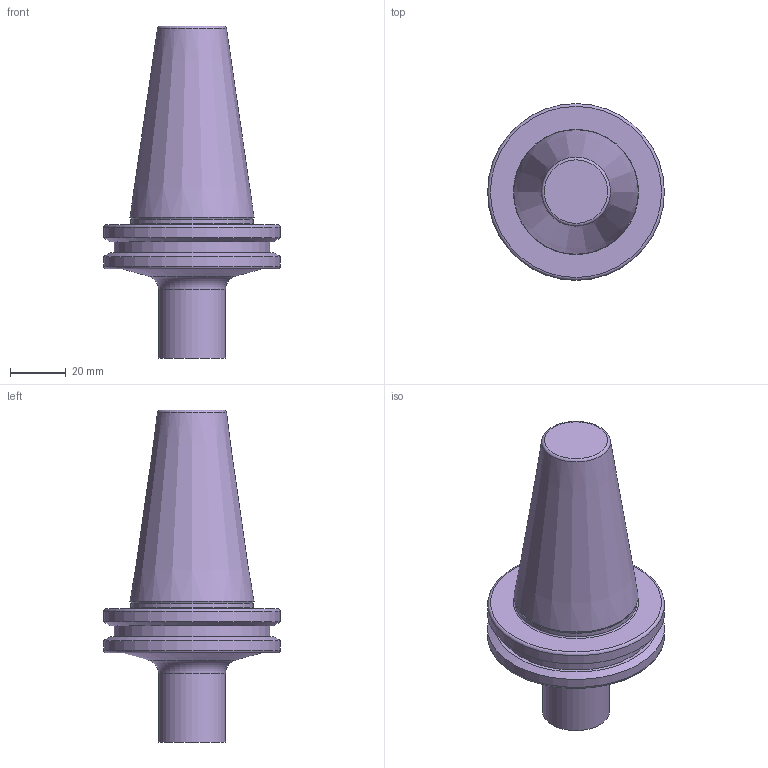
import cadquery as cq
import math


total_length = 119.3

gauge_diameter = 44.45
taper_length = 68.25
taper_overrun = 0.45
taper_ratio = 7 / 24
tip_fillet = 1.0

neck_diameter = 44.0
neck_step_height = 0.7
neck_base_fillet = 0.5

flange_diameter = 63.5
flange_gap = 3.175
flange_thickness = 15.875
flange_edge_fillet = 1.0
groove_diameter = 56.0
groove_root_width = 3.85
groove_centre_depth = 8.05
groove_lip_diameter = 58.5
groove_wall_angle = 30.0

nose_diameter = 24.1
cone_base_diameter = 50.0
cone_angle = 15.5
nose_fillet = 5.0

gauge_radius = gauge_diameter / 2
neck_radius = neck_diameter / 2
flange_radius = flange_diameter / 2
groove_radius = groove_diameter / 2
groove_lip_radius = groove_lip_diameter / 2
nose_radius = nose_diameter / 2
cone_base_radius = cone_base_diameter / 2

tip_z = taper_length
nose_end_z = tip_z - total_length
flange_top_z = -flange_gap
flange_bottom_z = flange_top_z - flange_thickness


def taper_radius(z):
    """Radius of the taper at height z."""
    return gauge_radius - z * taper_ratio / 2


def make_shank():
    """Tapered shank with a rounded tip and a relief neck flared into the flange."""
    taper_end_z = -taper_overrun
    flare_middle = neck_base_fillet * (1 - math.sqrt(0.5))
    return (
        cq.Workplane("XZ")
        .moveTo(0, tip_z)
        .lineTo(taper_radius(tip_z), tip_z)
        .lineTo(taper_radius(taper_end_z), taper_end_z)
        .lineTo(neck_radius, taper_end_z - neck_step_height)
        .lineTo(neck_radius, flange_top_z + neck_base_fillet)
        .threePointArc(
            (neck_radius + flare_middle, flange_top_z + flare_middle),
            (neck_radius + neck_base_fillet, flange_top_z),
        )
        .lineTo(neck_radius + neck_base_fillet, flange_bottom_z)
        .lineTo(0, flange_bottom_z)
        .close()
        .revolve(360, (0, 0, 0), (0, 1, 0))
        .faces(">Z")
        .edges()
        .fillet(tip_fillet)
    )


def make_flange():
    """Flange disc with rounded rims."""
    return (
        cq.Workplane("XY")
        .workplane(offset=flange_bottom_z)
        .circle(flange_radius)
        .extrude(flange_thickness)
        .faces("<Z or >Z")
        .edges()
        .fillet(flange_edge_fillet)
    )


def make_groove_cutter():
    """Ring that cuts the gripper groove: a square root with walls flaring to the rim."""
    centre_z = flange_top_z - groove_centre_depth
    root_half = groove_root_width / 2
    wall_rise = (flange_radius - groove_lip_radius) * math.tan(math.radians(groove_wall_angle))
    mouth_half = root_half + wall_rise
    return (
        cq.Workplane("XZ")
        .moveTo(groove_radius, centre_z - root_half)
        .lineTo(groove_lip_radius, centre_z - root_half)
        .lineTo(flange_radius, centre_z - mouth_half)
        .lineTo(flange_radius, centre_z + mouth_half)
        .lineTo(groove_lip_radius, centre_z + root_half)
        .lineTo(groove_radius, centre_z + root_half)
        .close()
        .revolve(360, (0, 0, 0), (0, 1, 0))
    )


def make_nose():
    """Cylindrical nose joined to the flange by a fillet and a shallow cone."""
    slope = math.radians(cone_angle)
    fillet_drop = nose_fillet * math.cos(slope)
    cone_end_radius = nose_radius + nose_fillet * (1 - math.sin(slope))
    cone_end_z = flange_bottom_z - (cone_base_radius - cone_end_radius) * math.tan(slope)
    fillet_end_z = cone_end_z - fillet_drop
    mid_angle = math.radians(180 - (90 - cone_angle) / 2)
    fillet_middle = (
        nose_radius + nose_fillet * (1 + math.cos(mid_angle)),
        fillet_end_z + nose_fillet * math.sin(mid_angle),
    )
    return (
        cq.Workplane("XZ")
        .moveTo(0, flange_bottom_z)
        .lineTo(cone_base_radius, flange_bottom_z)
        .lineTo(cone_end_radius, cone_end_z)
        .threePointArc(fillet_middle, (nose_radius, fillet_end_z))
        .lineTo(nose_radius, nose_end_z)
        .lineTo(0, nose_end_z)
        .close()
        .revolve(360, (0, 0, 0), (0, 1, 0))
    )


grooved_flange = make_flange().cut(make_groove_cutter())
result = make_shank().union(grooved_flange).union(make_nose())